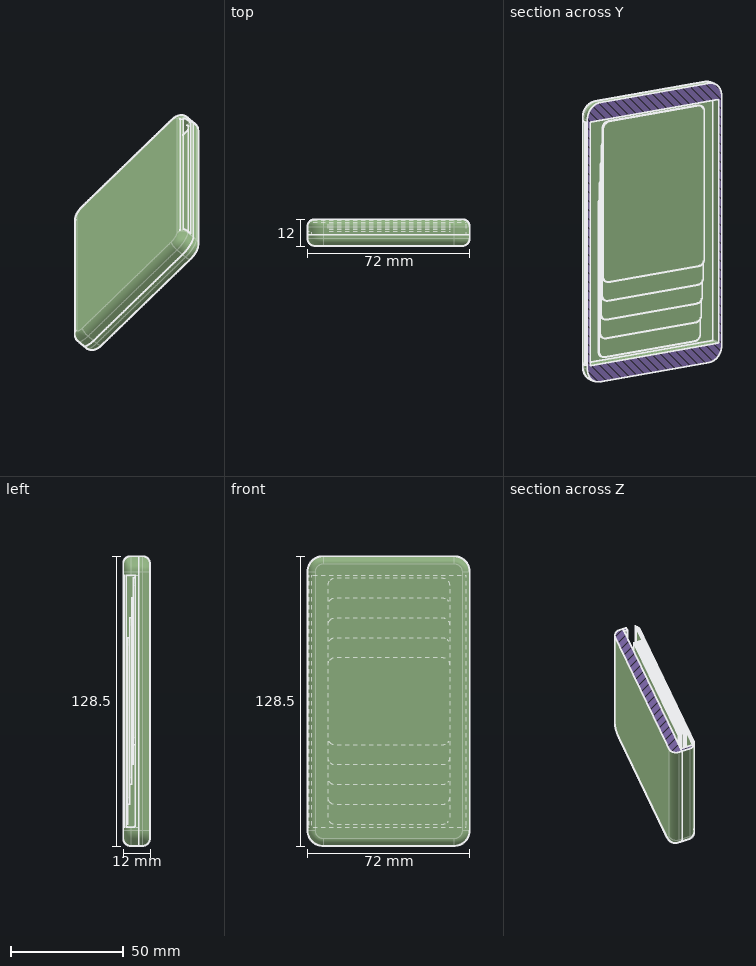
import cadquery as cq

case_width = 71.95
case_depth = 11.99
case_height = 128.45
corner_radius = 7.0
edge_radius = 3.4
seam_y = -0.9

back_y = case_depth / 2
front_y = -case_depth / 2

card_count = 5
card_width = 54.0
card_length = 73.8
card_thickness = 0.8
card_corner_radius = 3.2
card_stagger = 8.8
stack_front_y = 0.6
stack_depth = card_count * card_thickness
stack_back_y = stack_front_y + stack_depth
stack_height = card_length + (card_count - 1) * card_stagger

end_clearance = 1.3
liner_thickness = 0.8
compartment_width = 68.5
compartment_height = stack_height + 2 * end_clearance
compartment_back_y = stack_back_y + liner_thickness
compartment_corner_radius = 0.4

window_corner_radius = 0.6


def upright_plate(width, height, corner, y_start, y_end):
    """Plate with rounded corners in XZ, centred on the Y axis, from y_start to y_end."""
    plate = cq.Workplane("XY").box(width, y_end - y_start, height)
    return plate.edges("|Y").fillet(corner).translate((0, (y_start + y_end) / 2, 0))


def make_front_shell():
    plate = upright_plate(case_width, case_height, corner_radius, front_y, seam_y)
    return plate.faces("<Y").edges().fillet(edge_radius)


def compartment_space(y_start):
    """The compartment from y_start to its back wall."""
    return upright_plate(
        compartment_width, compartment_height, compartment_corner_radius, y_start, compartment_back_y
    )


def window_space():
    """Opening from the middle of the case out through its -X side."""
    window_length = case_width / 2
    space = cq.Workplane("XY").box(window_length, stack_depth, compartment_height)
    space = space.edges("|X").fillet(window_corner_radius)
    return space.translate((-window_length / 2, (stack_front_y + stack_back_y) / 2, 0))


def make_back_cover():
    plate = upright_plate(case_width, case_height, corner_radius, seam_y, back_y)
    cover = plate.faces(">Y").edges().fillet(edge_radius)
    return cover.cut(compartment_space(seam_y)).cut(window_space())


def make_liner():
    return compartment_space(stack_back_y)


def make_card(index):
    """Card counted from the rearmost, which sits lowest; each next one is higher and further forward."""
    card_back_y = stack_back_y - index * card_thickness
    card = upright_plate(
        card_width, card_length, card_corner_radius, card_back_y - card_thickness, card_back_y
    )
    return card.translate((0, 0, (index - (card_count - 1) / 2) * card_stagger))


front_shell = make_front_shell()
back_cover = make_back_cover()
liner = make_liner()
cards = [make_card(index) for index in range(card_count)]

result = cq.Compound.makeCompound(
    [
        front_shell.val(),
        back_cover.val(),
        liner.val(),
        *[card.val() for card in cards],
    ]
)